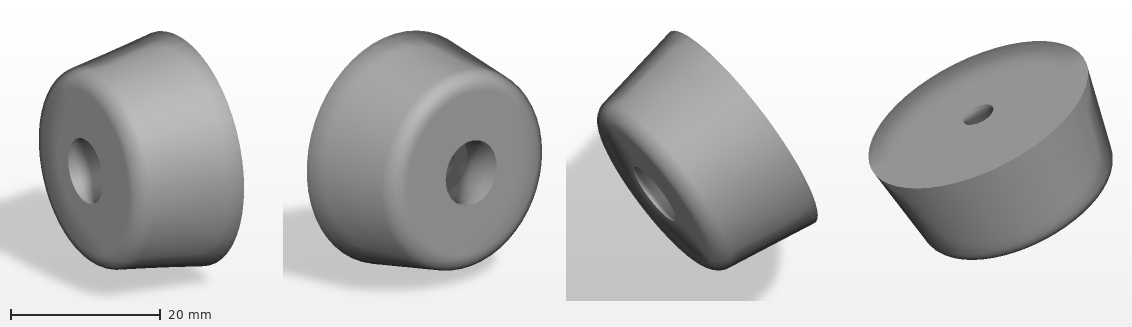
import cadquery as cq

base_diameter = 32.0
height = 15.0
tip_diameter = 27.0
tip_fillet = 2.5

hole_diameter = 4.4
counterbore_diameter = 9.0
counterbore_depth = 6.0

body = (
    cq.Workplane("XY")
    .polyline([(0, 0), (base_diameter / 2, 0), (tip_diameter / 2, -height), (0, -height)])
    .close()
    .revolve(360, (0, 0, 0), (0, 1, 0))
)

body = body.faces("<Y").edges().fillet(tip_fillet)

result = (
    body.faces("<Y")
    .workplane(origin=(0, -height, 0))
    .cboreHole(hole_diameter, counterbore_diameter, counterbore_depth)
)